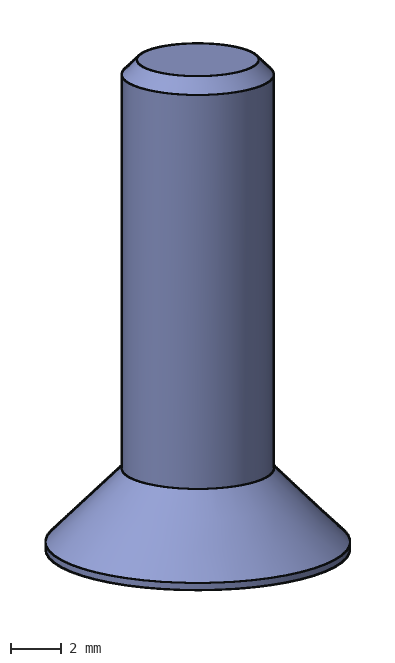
import cadquery as cq

total_length = 20.0
shank_diameter = 6.0
head_diameter = 12.0
rim_height = 0.3
tip_chamfer = 0.6

shank_radius = shank_diameter / 2
head_radius = head_diameter / 2
cone_height = head_radius - shank_radius
cone_top = rim_height + cone_height

half_section = [
    (0, 0),
    (head_radius, 0),
    (head_radius, rim_height),
    (shank_radius, cone_top),
    (shank_radius, total_length - tip_chamfer),
    (shank_radius - tip_chamfer, total_length),
    (0, total_length),
]

result = (
    cq.Workplane("XZ")
    .polyline(half_section)
    .close()
    .revolve(360, (0, 0, 0), (0, 1, 0))
)